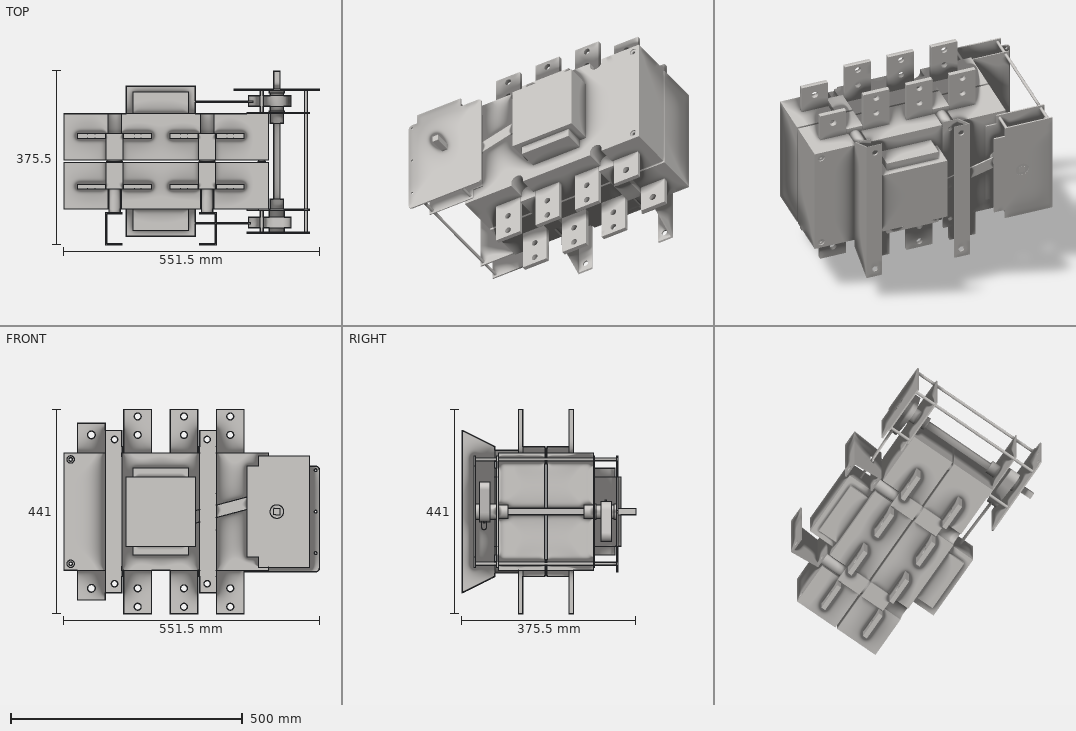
import cadquery as cq
import math


BLOCK_LENGTH = 442.0
BLOCK_HEIGHT = 253.5
BLOCK_DEPTH = 100.5
POLE_GAP = 5.0
BLOCK_INNER_Y = POLE_GAP / 2
BLOCK_OUTER_Y = BLOCK_INNER_Y + BLOCK_DEPTH

TERMINAL_PITCH = 100.0
FIRST_TERMINAL_X = 59.5
TERMINAL_XS = [FIRST_TERMINAL_X + TERMINAL_PITCH * i for i in range(4)]
TERMINAL_WIDTH = 60.0
TERMINAL_THICKNESS = 10.0
TERMINAL_OUTER_Y = 59.5
PHASE_TIP_Z = 220.5
NEUTRAL_TIP_Z = 191.0
TERMINAL_HOLE_Z = 165.5
TERMINAL_HOLE_PITCH = 39.5
PHASE_HOLE_DIAMETER = 14.5
NEUTRAL_HOLE_DIAMETER = 16.0

FIXING_XS = [(TERMINAL_XS[0] + TERMINAL_XS[1]) / 2, (TERMINAL_XS[2] + TERMINAL_XS[3]) / 2]
FIXING_Z = 120.0
BRIDGE_WIDTH = 37.0
BRIDGE_TOP_Z = 140.0
SLOT_DIAMETER = 29.0
REAR_SPIGOT_DIAMETER = 33.0
FRONT_SPIGOT_DIAMETER = 34.0

CORNER_X = 15.0
CORNER_Z = 112.5
CORNER_HOLE_DIAMETER = 7.0
CORNER_COUNTERBORE_DIAMETER = 16.0
CORNER_COUNTERBORE_DEPTH = 3.0
REAR_CORNER_SPIGOT_DIAMETER = 14.5
FRONT_CORNER_SPIGOT_DIAMETER = 16.0

COIL_CENTER_X = 209.0
YOKE_SIZE = 149.5
YOKE_OUTER_Y = 162.0
WINDING_WIDTH = 119.0
WINDING_HEIGHT = 187.5
WINDING_OUTER_Y = 149.0

BRACKET_INNER_Y = 110.5
BRACKET_OUTER_Y = 181.0
BRACKET_THICKNESS = 3.5
BRACKET_WEB_OFFSET = 20.0
BRACKET_EDGE_OFFSET = 16.0
BRACKET_OUTER_HALF_HEIGHT = 175.5
BRACKET_INNER_HALF_HEIGHT = BRIDGE_TOP_Z
BRACKET_HOLE_Z = 155.5
BRACKET_HOLE_DIAMETER = 13.0
BRACKET_BOLT_DIAMETER = 11.0
BRACKET_BOLT_DEPTH = 10.0
LINK_OPENING_WIDTH = 10.5
LINK_OPENING_HEIGHT = 78.5
ROD_DIAMETER = 25.0

PLATE_LEFT_X = 395.0
PLATE_RIGHT_X = 530.0
PLATE_HALF_HEIGHT = 120.0
PLATE_NOTCH_X = 419.5
PLATE_NOTCH_Z = 98.0
PLATE_THICKNESS = 3.5
REAR_INNER_PLATE_THICKNESS = 2.0
OUTER_PLATE_Y = 155.5
COVER_LEFT_X = 367.5
COVER_RIGHT_X = 551.5
COVER_BOTTOM_Z = -130.0
COVER_CORNER_RADIUS = 9.0
COVER_HOLE_X = 543.0
COVER_HOLE_PITCH = 89.5
COVER_HOLE_DIAMETER = 5.5
TIE_ROD_DIAMETER = 6.5
LONG_TIE_ROD_X = 522.0

SHAFT_X = 459.5
SHAFT_SIDE = 14.0
SHAFT_TWIST = 3.0
SHAFT_REAR_Y = 194.5
COLLAR_DIAMETER = 29.0
COLLAR_INNER_Y = 81.5
BUSHING_DIAMETER = 33.0
REAR_BUSHING_FLANGE = 5.0
REAR_BUSHING_FOOT = 3.5
BEARING_RECESS = 0.5
CRANK_THICKNESS = 23.0
REAR_CRANK_CENTER_Y = 130.0
FRONT_CRANK_CENTER_Y = -132.0
CRANK_HUB_DIAMETER = 44.0
CRANK_END_DIAMETER = 30.0
CRANK_ARM_RADIUS = 52.0
CRANK_LINK_ANGLE = 154.0
CRANK_FREE_ANGLE = 72.0
LINK_HEIGHT = 26.0
LINK_THICKNESS = 3.5
LINK_SLOPE = 14.8
LINK_OFFSET = -1.5


def box(x0, x1, y0, y1, z0, z1):
    """Box between two opposite corners."""
    return cq.Workplane("XY").box(x1 - x0, y1 - y0, z1 - z0, centered=False).translate((x0, y0, z0))


def centered_box(x, width, y0, y1, height):
    """Box centred on x and on mid height."""
    return box(x - width / 2, x + width / 2, y0, y1, -height / 2, height / 2)


def cylinder_y(x, z, diameter, y0, y1):
    """Cylinder along Y between y0 and y1."""
    return cq.Workplane("XZ", origin=(x, y0, z)).circle(diameter / 2).extrude(y0 - y1)


def terminals():
    """Terminal bars of one pole, above and below the block, with their holes."""
    inner_y = TERMINAL_OUTER_Y - TERMINAL_THICKNESS
    bars = cq.Workplane("XY")
    for i, x in enumerate(TERMINAL_XS):
        neutral = i == 0
        tip_z = NEUTRAL_TIP_Z if neutral else PHASE_TIP_Z
        diameter = NEUTRAL_HOLE_DIAMETER if neutral else PHASE_HOLE_DIAMETER
        hole_zs = [TERMINAL_HOLE_Z]
        if not neutral:
            hole_zs.append(TERMINAL_HOLE_Z + TERMINAL_HOLE_PITCH)
        bar = centered_box(x, TERMINAL_WIDTH, inner_y, TERMINAL_OUTER_Y, 2 * tip_z)
        for z in hole_zs:
            for side in (1, -1):
                bar = bar.cut(cylinder_y(x, side * z, diameter, inner_y, TERMINAL_OUTER_Y))
        bars = bars.add(bar)
    return bars.combine()


def fixing_slots(x):
    """Round-bottomed slots, above and below, from the bridge to the outer face."""
    slots = cq.Workplane("XY")
    for side in (1, -1):
        slot = cylinder_y(x, side * FIXING_Z, SLOT_DIAMETER, TERMINAL_OUTER_Y, BLOCK_OUTER_Y)
        z0, z1 = sorted((side * FIXING_Z, side * BRIDGE_TOP_Z))
        mouth = box(x - SLOT_DIAMETER / 2, x + SLOT_DIAMETER / 2, TERMINAL_OUTER_Y, BLOCK_OUTER_Y, z0, z1)
        slots = slots.add(slot.union(mouth))
    return slots.combine()


def pole(spigot_diameter, corner_spigot_diameter):
    """One pole on the +Y side: block, bridges, terminals, electromagnet, spigots and holes."""
    body = box(0, BLOCK_LENGTH, BLOCK_INNER_Y, BLOCK_OUTER_Y, -BLOCK_HEIGHT / 2, BLOCK_HEIGHT / 2)
    for x in FIXING_XS:
        body = body.union(centered_box(x, BRIDGE_WIDTH, BLOCK_INNER_Y, TERMINAL_OUTER_Y, 2 * BRIDGE_TOP_Z))
        body = body.cut(fixing_slots(x))
    body = body.union(terminals())
    body = body.union(centered_box(COIL_CENTER_X, YOKE_SIZE, BLOCK_OUTER_Y, YOKE_OUTER_Y, YOKE_SIZE))
    body = body.union(
        centered_box(COIL_CENTER_X, WINDING_WIDTH, BLOCK_OUTER_Y, WINDING_OUTER_Y, WINDING_HEIGHT)
    )
    for side in (1, -1):
        for x in FIXING_XS:
            body = body.union(cylinder_y(x, side * FIXING_Z, spigot_diameter, 0, BLOCK_INNER_Y))
        spigot_x = BLOCK_LENGTH - CORNER_X
        body = body.union(cylinder_y(spigot_x, side * CORNER_Z, corner_spigot_diameter, 0, BLOCK_INNER_Y))
        corner_z = side * CORNER_Z
        body = body.cut(cylinder_y(CORNER_X, corner_z, CORNER_HOLE_DIAMETER, BLOCK_INNER_Y, BLOCK_OUTER_Y))
        counterbore_y = BLOCK_OUTER_Y - CORNER_COUNTERBORE_DEPTH
        body = body.cut(
            cylinder_y(CORNER_X, corner_z, CORNER_COUNTERBORE_DIAMETER, counterbore_y, BLOCK_OUTER_Y)
        )
    return body


def bracket(x, web_side):
    """Channel bracket on the +Y side with its web towards web_side, carried by two rods."""
    web_x = x + web_side * BRACKET_WEB_OFFSET
    edge_x = x - web_side * BRACKET_EDGE_OFFSET
    inside_x = web_x - web_side * BRACKET_THICKNESS
    x0, x1 = sorted((web_x, edge_x))
    profile = [
        (BRACKET_INNER_Y, -BRACKET_INNER_HALF_HEIGHT),
        (BRACKET_OUTER_Y, -BRACKET_OUTER_HALF_HEIGHT),
        (BRACKET_OUTER_Y, BRACKET_OUTER_HALF_HEIGHT),
        (BRACKET_INNER_Y, BRACKET_INNER_HALF_HEIGHT),
    ]
    channel = cq.Workplane("YZ", origin=(x0, 0, 0)).polyline(profile).close().extrude(x1 - x0)
    hollow_x0, hollow_x1 = sorted((inside_x, edge_x))
    flange_inside_y = BRACKET_INNER_Y + BRACKET_THICKNESS
    outer_inside_y = BRACKET_OUTER_Y - BRACKET_THICKNESS
    full_height = BRACKET_OUTER_HALF_HEIGHT
    hollow = box(hollow_x0, hollow_x1, flange_inside_y, outer_inside_y, -full_height, full_height)
    body = channel.cut(hollow)
    for side in (1, -1):
        rod = cylinder_y(x, side * FIXING_Z, ROD_DIAMETER, TERMINAL_OUTER_Y, BRACKET_INNER_Y)
        bolt_y = flange_inside_y - BRACKET_BOLT_DEPTH
        bolt_hole = cylinder_y(x, side * FIXING_Z, BRACKET_BOLT_DIAMETER, bolt_y, flange_inside_y)
        mounting_z = side * BRACKET_HOLE_Z
        mounting_hole = cylinder_y(x, mounting_z, BRACKET_HOLE_DIAMETER, outer_inside_y, BRACKET_OUTER_Y)
        body = body.union(rod).cut(bolt_hole).cut(mounting_hole)
    return body


def link_opening(x, web_side):
    """Round-ended slot in a bracket web that lets the link pass."""
    web_x = x + web_side * BRACKET_WEB_OFFSET
    link_y = -FRONT_CRANK_CENTER_Y - LINK_OFFSET
    slot = cq.Workplane("YZ", origin=(web_x, link_y, 0))
    slot = slot.slot2D(LINK_OPENING_HEIGHT, LINK_OPENING_WIDTH, 90)
    return slot.extrude(-web_side * BRACKET_THICKNESS)


def make_rear_pole():
    return pole(REAR_SPIGOT_DIAMETER, REAR_CORNER_SPIGOT_DIAMETER)


def make_front_pole():
    """Front pole with both brackets; the right bracket is open for the link."""
    left_x, right_x = FIXING_XS
    body = pole(FRONT_SPIGOT_DIAMETER, FRONT_CORNER_SPIGOT_DIAMETER)
    body = body.union(bracket(left_x, -1))
    body = body.union(bracket(right_x, 1).cut(link_opening(right_x, 1)))
    return body.mirror("XZ")


def notched_plate(y0, y1):
    """Mechanism plate with its two left corners cut away."""
    tall = box(PLATE_NOTCH_X, PLATE_RIGHT_X, y0, y1, -PLATE_HALF_HEIGHT, PLATE_HALF_HEIGHT)
    return tall.union(box(PLATE_LEFT_X, PLATE_RIGHT_X, y0, y1, -PLATE_NOTCH_Z, PLATE_NOTCH_Z))


def cover_plate(y0, y1):
    """Rear cover: rounded plate with a raised middle and a row of holes along its right edge."""
    plate = box(COVER_LEFT_X, COVER_RIGHT_X, y0, y1, COVER_BOTTOM_Z, PLATE_NOTCH_Z)
    plate = plate.edges("|Y").fillet(COVER_CORNER_RADIUS)
    plate = plate.union(box(PLATE_NOTCH_X, PLATE_RIGHT_X, y0, y1, 0, PLATE_HALF_HEIGHT))
    for row in (-1, 0, 1):
        plate = plate.cut(cylinder_y(COVER_HOLE_X, row * COVER_HOLE_PITCH, COVER_HOLE_DIAMETER, y0, y1))
    return plate


def tapered_arm(start, start_diameter, end, end_diameter, y0, y1):
    """Flat arm between two (x, z) points, rounded at both ends, with its flanks tangent to both ends."""
    start_radius = start_diameter / 2
    end_radius = end_diameter / 2
    dx = end[0] - start[0]
    dz = end[1] - start[1]
    direction = math.atan2(dz, dx)
    flank_angle = math.acos((start_radius - end_radius) / math.hypot(dx, dz))
    left = direction + flank_angle
    right = direction - flank_angle

    def rim(center, radius, angle):
        return (center[0] + radius * math.cos(angle), center[1] + radius * math.sin(angle))

    outline = (
        cq.Workplane("XZ", origin=(0, y1, 0))
        .moveTo(*rim(start, start_radius, right))
        .lineTo(*rim(end, end_radius, right))
        .threePointArc(rim(end, end_radius, direction), rim(end, end_radius, left))
        .lineTo(*rim(start, start_radius, left))
        .threePointArc(rim(start, start_radius, direction + math.pi), rim(start, start_radius, right))
        .close()
    )
    return outline.extrude(y1 - y0)


def crank_and_link(center_y, side):
    """Three-cornered crank with its link to the electromagnet; side = -1 turns both upside down."""
    y0 = center_y - CRANK_THICKNESS / 2
    y1 = center_y + CRANK_THICKNESS / 2
    corners = [(SHAFT_X, 0)]
    for degrees in (CRANK_LINK_ANGLE, CRANK_FREE_ANGLE):
        angle = math.radians(degrees)
        x = SHAFT_X + CRANK_ARM_RADIUS * math.cos(angle)
        corners.append((x, side * CRANK_ARM_RADIUS * math.sin(angle)))
    crank = cq.Workplane("XZ", origin=(0, y1, 0)).polyline(corners).close().extrude(CRANK_THICKNESS)
    hub, link_end, free_end = corners
    for end in (link_end, free_end):
        crank = crank.union(tapered_arm(hub, CRANK_HUB_DIAMETER, end, CRANK_END_DIAMETER, y0, y1))
    crank = crank.union(tapered_arm(link_end, CRANK_END_DIAMETER, free_end, CRANK_END_DIAMETER, y0, y1))

    pivot_x, pivot_z = link_end
    yoke_x = COIL_CENTER_X + YOKE_SIZE / 2
    slope = math.tan(math.radians(LINK_SLOPE))
    half_rise = LINK_HEIGHT / 2 / math.cos(math.radians(LINK_SLOPE))
    yoke_z = pivot_z - side * (pivot_x - yoke_x) * slope
    outline = [
        (yoke_x, yoke_z - half_rise),
        (pivot_x, pivot_z - half_rise),
        (pivot_x, pivot_z + half_rise),
        (yoke_x, yoke_z + half_rise),
    ]
    link_plane = cq.Workplane("XZ", origin=(0, center_y + LINK_OFFSET + LINK_THICKNESS / 2, 0))
    return crank.union(link_plane.polyline(outline).close().extrude(LINK_THICKNESS))


def shaft_and_bushings():
    """Slightly turned square shaft, its upright rear end, and the round collars and bushings."""
    inside_plate_y = OUTER_PLATE_Y - PLATE_THICKNESS
    shaft = centered_box(0, SHAFT_SIDE, -OUTER_PLATE_Y, OUTER_PLATE_Y, SHAFT_SIDE)
    shaft = shaft.rotate((0, 0, 0), (0, 1, 0), SHAFT_TWIST).translate((SHAFT_X, 0, 0))
    shaft = shaft.union(centered_box(SHAFT_X, SHAFT_SIDE, OUTER_PLATE_Y, SHAFT_REAR_Y, SHAFT_SIDE))
    flange_y = inside_plate_y - REAR_BUSHING_FLANGE
    foot_y = BLOCK_OUTER_Y + REAR_INNER_PLATE_THICKNESS + REAR_BUSHING_FOOT
    sections = [
        (COLLAR_DIAMETER, COLLAR_INNER_Y, inside_plate_y),
        (BUSHING_DIAMETER, BLOCK_OUTER_Y, foot_y),
        (BUSHING_DIAMETER, flange_y, inside_plate_y),
        (COLLAR_DIAMETER, -BLOCK_OUTER_Y, -COLLAR_INNER_Y),
        (BUSHING_DIAMETER, -inside_plate_y, -BLOCK_OUTER_Y),
    ]
    for diameter, y0, y1 in sections:
        shaft = shaft.union(cylinder_y(SHAFT_X, 0, diameter, y0, y1))
    return shaft


def make_mechanism():
    """Plates, tie rods, shaft, cranks and links."""
    inside_plate_y = OUTER_PLATE_Y - PLATE_THICKNESS
    body = notched_plate(-OUTER_PLATE_Y, -inside_plate_y)
    recess = cylinder_y(SHAFT_X, 0, COLLAR_DIAMETER, -OUTER_PLATE_Y, BEARING_RECESS - OUTER_PLATE_Y)
    body = body.cut(recess)
    body = body.union(notched_plate(-BLOCK_OUTER_Y - PLATE_THICKNESS, -BLOCK_OUTER_Y))
    body = body.union(notched_plate(BLOCK_OUTER_Y, BLOCK_OUTER_Y + REAR_INNER_PLATE_THICKNESS))
    body = body.union(cover_plate(inside_plate_y, OUTER_PLATE_Y))
    short_rod_x = BLOCK_LENGTH - CORNER_X
    for z in (CORNER_Z, -CORNER_Z):
        body = body.union(cylinder_y(LONG_TIE_ROD_X, z, TIE_ROD_DIAMETER, -inside_plate_y, inside_plate_y))
        body = body.union(cylinder_y(short_rod_x, z, TIE_ROD_DIAMETER, BLOCK_OUTER_Y, inside_plate_y))
        body = body.union(cylinder_y(short_rod_x, z, TIE_ROD_DIAMETER, -inside_plate_y, -BLOCK_OUTER_Y))
    body = body.union(shaft_and_bushings())
    body = body.union(crank_and_link(FRONT_CRANK_CENTER_Y, 1))
    return body.union(crank_and_link(REAR_CRANK_CENTER_Y, -1))


rear_pole = make_rear_pole()
front_pole = make_front_pole()
mechanism = make_mechanism()
result = cq.Compound.makeCompound([rear_pole.val(), front_pole.val(), mechanism.val()])